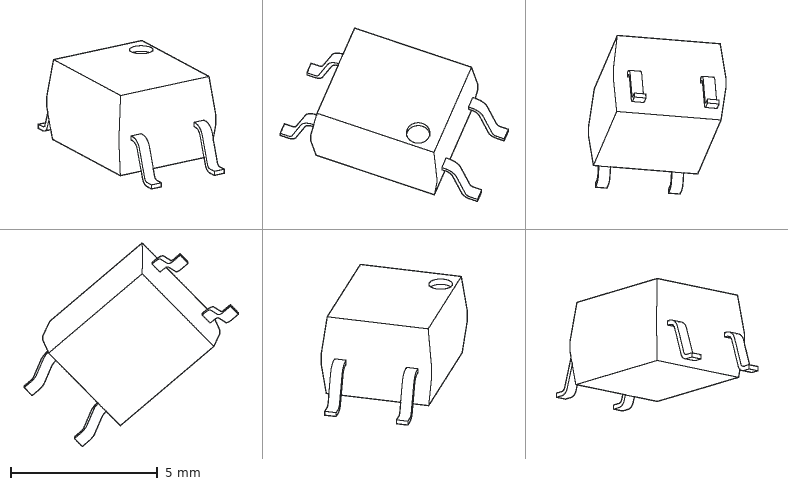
import cadquery as cq
import math

overall_length = 7.2
body_length = 4.6
body_width = 3.9
body_bottom = 0.11
body_top = 3.0
band_height = 0.39
lead_shoulder_mid = 1.455
band_bottom = lead_shoulder_mid - band_height / 2
band_top = lead_shoulder_mid + band_height / 2
draft_angle = 7.0

marker_diameter = 0.8
marker_depth = 0.2
marker_x = -1.36
marker_y = 1.27

lead_width = 0.4
lead_thickness = 0.15
lead_pitch = 2.535
foot_flat = 0.29
heel_inner_radius = 0.15
shoulder_inner_radius = 0.3
leg_angle = 71.0


def make_body():
    """Moulded body: straight central band, drafted faces above and below, round recess on top."""
    band = cq.Workplane("XY", origin=(0, 0, band_bottom)).rect(body_length, body_width).extrude(band_height)
    upper = (
        cq.Workplane("XY", origin=(0, 0, band_top))
        .rect(body_length, body_width)
        .extrude(body_top - band_top, taper=draft_angle)
    )
    lower = (
        cq.Workplane("XY", origin=(0, 0, band_bottom))
        .rect(body_length, body_width)
        .extrude(body_bottom - band_bottom, taper=draft_angle)
    )
    marker = (
        cq.Workplane("XY", origin=(marker_x, marker_y, body_top))
        .circle(marker_diameter / 2)
        .extrude(-marker_depth)
    )
    return band.union(upper).union(lower).cut(marker)


def make_lead():
    """Right-hand lead centred on Y = 0, from its toe on Z = 0 to the side of the body."""
    angle = math.radians(leg_angle)
    heel_outer_radius = heel_inner_radius + lead_thickness
    shoulder_outer_radius = shoulder_inner_radius + lead_thickness
    toe_x = overall_length / 2
    body_side_x = body_length / 2
    shoulder_top = lead_shoulder_mid + lead_thickness / 2
    shoulder_bottom = lead_shoulder_mid - lead_thickness / 2

    heel_x = toe_x - foot_flat
    heel_z = heel_outer_radius
    shoulder_z = shoulder_bottom - shoulder_inner_radius
    radius_sum = heel_inner_radius + shoulder_outer_radius
    leg_length = (shoulder_z - heel_z + radius_sum * math.cos(angle)) / math.sin(angle)
    shoulder_x = heel_x - radius_sum * math.sin(angle) - leg_length * math.cos(angle)

    def heel_point(radius, turn):
        return heel_x - radius * math.sin(turn), heel_z - radius * math.cos(turn)

    def shoulder_point(radius, turn):
        return shoulder_x + radius * math.sin(turn), shoulder_z + radius * math.cos(turn)

    half_turn = angle / 2
    return (
        cq.Workplane("XZ")
        .moveTo(toe_x, 0)
        .lineTo(heel_x, 0)
        .threePointArc(heel_point(heel_outer_radius, half_turn), heel_point(heel_outer_radius, angle))
        .lineTo(*shoulder_point(shoulder_inner_radius, angle))
        .threePointArc(shoulder_point(shoulder_inner_radius, half_turn), (shoulder_x, shoulder_bottom))
        .lineTo(body_side_x, shoulder_bottom)
        .lineTo(body_side_x, shoulder_top)
        .lineTo(shoulder_x, shoulder_top)
        .threePointArc(
            shoulder_point(shoulder_outer_radius, half_turn), shoulder_point(shoulder_outer_radius, angle)
        )
        .lineTo(*heel_point(heel_inner_radius, angle))
        .threePointArc(heel_point(heel_inner_radius, half_turn), (heel_x, lead_thickness))
        .lineTo(toe_x, lead_thickness)
        .close()
        .extrude(lead_width / 2, both=True)
    )


body = make_body()

leads = []
for side_rotation in (0, 180):
    for lead_y in (-lead_pitch / 2, lead_pitch / 2):
        lead = make_lead().translate((0, lead_y, 0)).rotate((0, 0, 0), (0, 0, 1), side_rotation)
        leads.append(lead.solids().val())

result = cq.Compound.makeCompound([body.solids().val(), *leads])